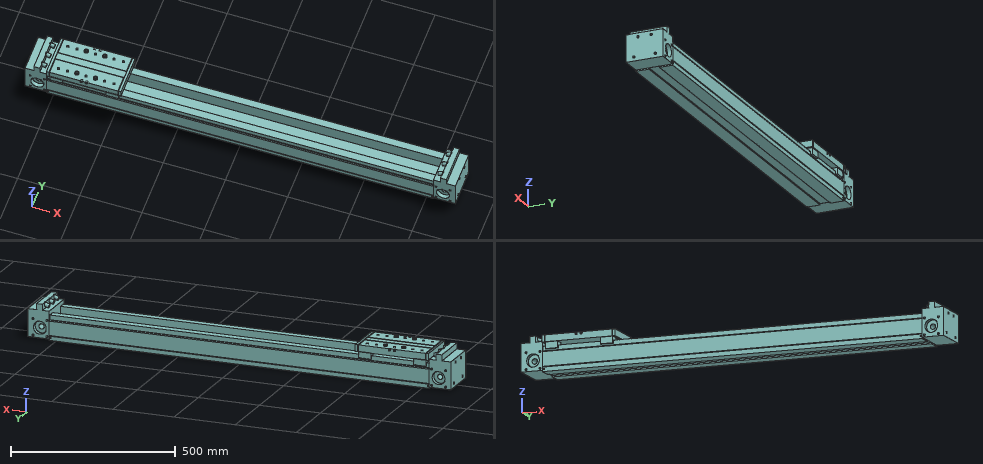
import cadquery as cq
import math

total_length = 1385.0
head_length = 70.0
beam_length = total_length - 2 * head_length

beam_width = 125.0
beam_height = 80.0
rail_width = 114.0
ledge_z = 65.0
ledge_chamfer = 3.0
channel_width = 64.0
channel_floor_z = 37.0
underside_groove_width = 35.0
underside_groove_depth = 4.0
side_groove_z = 15.0
side_groove_size = 1.1
pin_hole_diameter = 3.2
pin_hole_depth = 7.0
pin_hole_from_end = 4.0
pin_hole_z = 8.0

head_width = beam_width
head_bottom_z = 4.0
head_top_z = 94.0
bar_top_z = 114.0
bar_start = 29.0
bar_length = 20.0
pulley_from_end = 40.0
pulley_z = 37.0
pulley_recess_diameter = 42.0
pulley_recess_depth = 14.0
pulley_bore_diameter = 17.0
side_hole_diameter = 5.0
side_hole_depth = 11.0
side_hole_spacing_x = 46.0
side_hole_spacing_z = 53.0
end_hole_diameter = 6.6
end_hole_depth = 11.0
upper_end_hole_y = 22.0
upper_end_hole_z = 82.0
lower_end_hole_y = 36.0
lower_end_hole_z = 18.0
screw_diameter = 13.0
screw_pitch = 39.0
screw_length = 18.0
screw_tilt = 20.0
screw_root_z = 108.0
screw_root_depth = 4.0

carriage_x = -501.0
carriage_width = 135.0
plate_length = 220.0
plate_bottom_z = 91.0
plate_top_z = 114.0
end_plate_thickness = 10.0
joint_groove_width = 1.0
joint_groove_depth = 1.0
top_groove_width = 25.0
top_groove_depth = 1.0
mount_row_length = 179.0
mount_count = 7
mount_pitch = mount_row_length / (mount_count - 1)
mount_row_y = 45.0
mount_hole_diameter = 6.6
mount_hole_depth = 14.0
bushing_diameter = 13.0
bushing_height = 3.3
bushing_positions = (-1, 1)
lube_hole_diameter = 6.6
lube_hole_depth = 7.0
lube_hole_spacing = 17.0
lube_hole_z = 110.0
block_length = 40.0
block_outer_y = 64.0
block_inner_y = 35.0
block_bottom_z = 70.0
block_offset_x = (plate_length - block_length) / 2


def box(x_range, y_range, z_range):
    """Box between the given limits on each axis."""
    size = [high - low for low, high in (x_range, y_range, z_range)]
    corner = (x_range[0], y_range[0], z_range[0])
    return cq.Workplane("XY").box(*size, centered=False).translate(corner)


def cylinder(start, direction, diameter, length):
    """Cylinder that runs from a start point along a direction."""
    solid = cq.Solid.makeCylinder(diameter / 2, length, cq.Vector(*start), cq.Vector(*direction))
    return cq.Workplane(solid)


def make_beam():
    half = beam_width / 2
    right_half = [
        (0, underside_groove_depth),
        (underside_groove_width / 2, underside_groove_depth),
        (underside_groove_width / 2, 0),
        (half, 0),
        (half, side_groove_z - side_groove_size),
        (half - side_groove_size, side_groove_z),
        (half, side_groove_z + side_groove_size),
        (half, ledge_z - ledge_chamfer),
        (half - ledge_chamfer, ledge_z),
        (rail_width / 2, ledge_z),
        (rail_width / 2, beam_height),
        (channel_width / 2, beam_height),
        (channel_width / 2, channel_floor_z),
        (0, channel_floor_z),
    ]
    section = cq.Workplane("YZ").polyline(right_half).mirrorY()
    beam = section.extrude(beam_length / 2, both=True)

    pin_hole_x = beam_length / 2 - pin_hole_from_end
    for side in (-1, 1):
        for end in (-1, 1):
            start = (end * pin_hole_x, side * half, pin_hole_z)
            beam = beam.cut(cylinder(start, (0, -side, 0), pin_hole_diameter, pin_hole_depth))
    return beam


def make_carriage():
    half_width = carriage_width / 2
    half_plate = plate_length / 2
    half_total = half_plate + end_plate_thickness
    y_range = (-half_width, half_width)
    carriage = box((-half_total, half_total), y_range, (plate_bottom_z, plate_top_z))

    core_y_range = (-half_width + joint_groove_depth, half_width - joint_groove_depth)
    core_z_range = (plate_bottom_z + joint_groove_depth, plate_top_z - joint_groove_depth)
    for x_range in (
        (-half_plate - joint_groove_width, -half_plate),
        (half_plate, half_plate + joint_groove_width),
    ):
        sleeve = box(x_range, y_range, (plate_bottom_z, plate_top_z))
        carriage = carriage.cut(sleeve.cut(box(x_range, core_y_range, core_z_range)))

    half_groove = top_groove_width / 2
    groove = box(
        (-half_plate, half_plate),
        (-half_groove, half_groove),
        (plate_top_z - top_groove_depth, plate_top_z),
    )
    carriage = carriage.cut(groove)

    for side in (-1, 1):
        y = side * mount_row_y
        for index in range(mount_count):
            step = index - mount_count // 2
            x = step * mount_pitch
            top_z = plate_top_z
            if step in bushing_positions:
                top_z += bushing_height
                bushing = cylinder((x, y, plate_top_z), (0, 0, 1), bushing_diameter, bushing_height)
                carriage = carriage.union(bushing)
            hole = cylinder((x, y, top_z), (0, 0, -1), mount_hole_diameter, mount_hole_depth)
            carriage = carriage.cut(hole)

    for side in (-1, 1):
        for end in (-1, 1):
            start = (end * lube_hole_spacing / 2, side * half_width, lube_hole_z)
            carriage = carriage.cut(cylinder(start, (0, -side, 0), lube_hole_diameter, lube_hole_depth))

    for side in (-1, 1):
        y_range = sorted((side * block_inner_y, side * block_outer_y))
        for end in (-1, 1):
            x = end * block_offset_x
            x_range = (x - block_length / 2, x + block_length / 2)
            carriage = carriage.union(box(x_range, y_range, (block_bottom_z, plate_bottom_z)))
    return carriage.translate((carriage_x, 0, 0))


def make_head():
    """Head for the -X end."""
    end_x = -total_length / 2
    half_width = head_width / 2
    y_range = (-half_width, half_width)
    head = box((end_x, end_x + head_length), y_range, (head_bottom_z, head_top_z))
    bar_x = end_x + bar_start
    head = head.union(box((bar_x, bar_x + bar_length), y_range, (head_top_z, bar_top_z)))

    tilt = math.radians(screw_tilt)
    direction = (math.cos(tilt), 0, -math.sin(tilt))
    for step in (-1, 0, 1):
        start = (bar_x + bar_length - screw_root_depth, step * screw_pitch, screw_root_z)
        head = head.union(cylinder(start, direction, screw_diameter, screw_length))

    pulley_x = end_x + pulley_from_end
    bore = cylinder((pulley_x, -half_width, pulley_z), (0, 1, 0), pulley_bore_diameter, head_width)
    head = head.cut(bore)
    for side in (-1, 1):
        inward = (0, -side, 0)
        start = (pulley_x, side * half_width, pulley_z)
        head = head.cut(cylinder(start, inward, pulley_recess_diameter, pulley_recess_depth))
        for column in (-0.5, 0.5):
            for row in (-0.5, 0.5):
                hole_x = pulley_x + column * side_hole_spacing_x
                hole_z = pulley_z + row * side_hole_spacing_z
                start = (hole_x, side * half_width, hole_z)
                head = head.cut(cylinder(start, inward, side_hole_diameter, side_hole_depth))

        for y, z in ((upper_end_hole_y, upper_end_hole_z), (lower_end_hole_y, lower_end_hole_z)):
            start = (end_x, side * y, z)
            head = head.cut(cylinder(start, (1, 0, 0), end_hole_diameter, end_hole_depth))
    return head


guided_beam = make_beam().union(make_carriage())
heads = [make_head().rotate((0, 0, 0), (0, 0, 1), angle) for angle in (0, 180)]

result = cq.Compound.makeCompound([guided_beam.val(), *[head.val() for head in heads]])